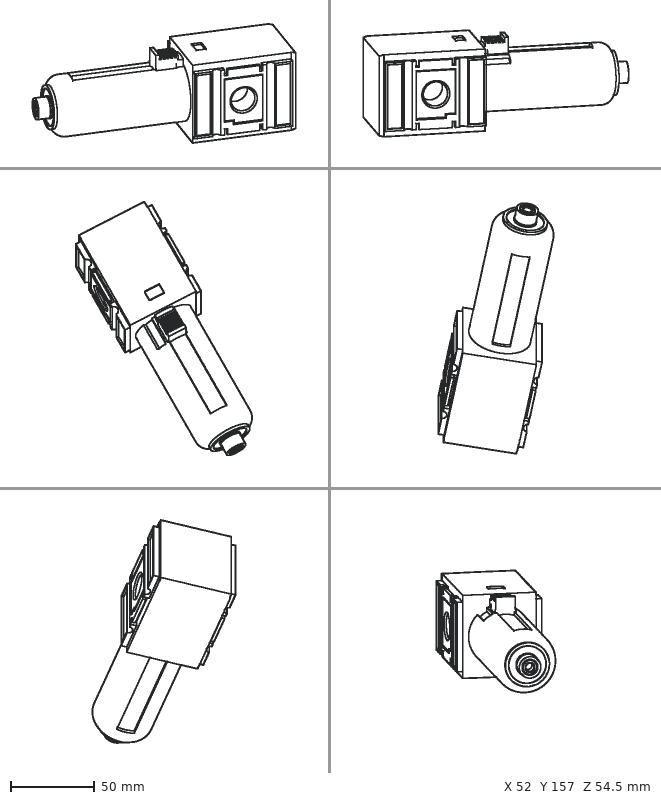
import cadquery as cq
import math


TOTAL_LENGTH = 157.0
HOUSING_LENGTH = 65.2
CAP_LENGTH = 3.0
BLOCK_LENGTH = HOUSING_LENGTH - CAP_LENGTH
BLOCK_WIDTH = 44.9
BLOCK_HEIGHT = 51.0
CROWN_RISE = 1.5
CROWN_RAMP = 6.3
CAP_SIDE_STEP = 0.2
CAP_RAMP = 2.5
CAP_DROP = 0.8

LABEL_WIDTH = 10.0
LABEL_LENGTH = 6.3
LABEL_CENTER_Y = 11.1
LABEL_DEPTH = 1.3

OVERALL_WIDTH = 52.0
PLATE_HEIGHT = 42.5
PLATE_THICKNESS = (OVERALL_WIDTH - BLOCK_WIDTH) / 2
PLATE_SETBACK = 0.2
PLATE_CENTER_Y = BLOCK_LENGTH / 2
SCALLOP_DIAMETER = 5.0
SCALLOP_SPACING = 34.0
PANEL_LENGTH = 9.1
PANEL_HEIGHT = 39.9
PANEL_SPACING = 50.2
PANEL_DEPTH = 1.3
RAIL_LENGTH = 20.4
RAIL_THICKNESS = 2.0
NOTCH_LENGTH = 1.9
NOTCH_DEPTH = 3.8

PORT_DIAMETER = 14.9
PORT_MOUTH_DIAMETER = 17.1
PORT_DEPTH = 15.7
PORT_FACE_LENGTH = 24.2
PORT_FACE_HEIGHT = 30.5
PORT_FACE_DEPTH = 0.3
PORT_PAD_THICKNESS = 0.2
PORT_PAD_TOP_GAP = 0.5
PORT_PAD_BOTTOM_GAP = 0.8
PORT_PAD_STEP_GAP = 0.5
PORT_STEP_LENGTH = 5.7
PORT_STEP_HEIGHT = 2.4

BOWL_RADIUS = 37.8 / 2
BOWL_LENGTH = TOTAL_LENGTH - HOUSING_LENGTH
DOME_START = 75.2
DOME_RADIUS = 7.5
FLANGE_RADIUS = 27.0 / 2
FLANGE_END = 84.3
FLANGE_RECESS_RADIUS = 23.0 / 2
FLANGE_RECESS_DEPTH = 0.8
SPOUT_RADIUS = 6.6
COLLAR_RADIUS = 6.9
COLLAR_END = FLANGE_END + 0.3
DRAIN_DIAMETER = 5.0
DRAIN_MOUTH_DIAMETER = 6.0
DRAIN_DEPTH = 6.3
RING_OUTER_DIAMETER = 9.5
RING_INNER_DIAMETER = 8.6
RING_DEPTH = 0.8
RECESS_FLOOR_RADIUS = 16.8
SIGHT_WIDTH = 11.0
SIGHT_START = 5.0
SIGHT_END = 70.0
POCKET_INNER_X = -7.7
POCKET_OUTER_X = -13.5
POCKET_END = 17.9
POCKET_WALL_ANGLE = 40.0
POCKET_CORNER_RADIUS = 1.0

LATCH_WIDTH = 12.0
LATCH_GAP = 0.5
LATCH_END = 17.9
LATCH_NECK_RADIUS = 23.4
LATCH_GRIP_RADIUS = 26.0
LATCH_GRIP_START = 3.8
LATCH_TAB_TOP = 27.5
LATCH_TAB_LENGTH = 2.4
TOOTH_COUNT = 5
TOOTH_PITCH = (LATCH_END - LATCH_TAB_LENGTH - LATCH_GRIP_START) / TOOTH_COUNT
TOOTH_GAP = 1.1
TOOTH_ROOT_RADIUS = 25.1
SKIRT_WIDTH = 13.2
SKIRT_START = 5.0
SKIRT_TOP = 20.4
SKIRT_BOTTOM = 18.0

FAR = 31.4


def box(x_range, y_range, z_range):
    """Axis-aligned box given by its limits."""
    size = [high - low for low, high in (x_range, y_range, z_range)]
    corner = (x_range[0], y_range[0], z_range[0])
    return cq.Workplane("XY").box(*size, centered=False).translate(corner)


def along_bowl(profile, start, end):
    """Extrude an XZ sketch from Y = -start to Y = -end."""
    return profile.extrude(end - start).translate((0, -start, 0))


def bowl_disc(radius, start, end):
    """Solid cylinder on the bowl axis."""
    return along_bowl(cq.Workplane("XZ").circle(radius), start, end)


def housing_block():
    half_width = BLOCK_WIDTH / 2
    half_height = BLOCK_HEIGHT / 2
    crown_top = half_height + CROWN_RISE
    crowned = (
        cq.Workplane("XZ")
        .moveTo(-half_width, -half_height)
        .lineTo(-half_width, half_height)
        .threePointArc((0, crown_top), (half_width, half_height))
        .lineTo(half_width, -half_height)
        .threePointArc((0, -crown_top), (-half_width, -half_height))
        .close()
        .extrude(-BLOCK_LENGTH)
    )
    ramped = (
        cq.Workplane("YZ")
        .polyline([
            (0, -half_height),
            (CROWN_RAMP, -crown_top),
            (BLOCK_LENGTH - CROWN_RAMP, -crown_top),
            (BLOCK_LENGTH, -half_height),
            (BLOCK_LENGTH, half_height),
            (BLOCK_LENGTH - CROWN_RAMP, crown_top),
            (CROWN_RAMP, crown_top),
            (0, half_height),
        ])
        .close()
        .extrude(half_width, both=True)
    )
    return crowned.intersect(ramped)


def end_cap():
    half_height = BLOCK_HEIGHT / 2
    ramp_start = HOUSING_LENGTH - CAP_RAMP
    return (
        cq.Workplane("YZ")
        .polyline([
            (BLOCK_LENGTH, -half_height),
            (ramp_start, -half_height),
            (HOUSING_LENGTH, -half_height + CAP_DROP),
            (HOUSING_LENGTH, half_height - CAP_DROP),
            (ramp_start, half_height),
            (BLOCK_LENGTH, half_height),
        ])
        .close()
        .extrude(BLOCK_WIDTH / 2 - CAP_SIDE_STEP, both=True)
    )


def label_recess():
    floor = BLOCK_HEIGHT / 2 + CROWN_RISE - LABEL_DEPTH
    half_width = LABEL_WIDTH / 2
    half_length = LABEL_LENGTH / 2
    y_range = (LABEL_CENTER_Y - half_length, LABEL_CENTER_Y + half_length)
    return box((-half_width, half_width), y_range, (floor, FAR))


def clamp_rail_cuts(inner_x, outer_x):
    """Two notches and the groove joining them behind the rail, at the top of the -X plate."""
    z_range = (PLATE_HEIGHT / 2 - NOTCH_DEPTH, PLATE_HEIGHT / 2)
    rail_start = PLATE_CENTER_Y - RAIL_LENGTH / 2
    rail_end = PLATE_CENTER_Y + RAIL_LENGTH / 2
    x_range = (outer_x, inner_x)
    cuts = box((outer_x + RAIL_THICKNESS, inner_x), (rail_start, rail_end), z_range)
    cuts = cuts.union(box(x_range, (rail_start - NOTCH_LENGTH, rail_start), z_range))
    return cuts.union(box(x_range, (rail_end, rail_end + NOTCH_LENGTH), z_range))


def stepped_panel(x_range, bottom, top, step_length, step_height):
    """Port-face panel with one lower corner cut away."""
    start = PLATE_CENTER_Y - PORT_FACE_LENGTH / 2
    panel = box(x_range, (start, start + PORT_FACE_LENGTH), (bottom, top))
    corner = box(x_range, (start, start + step_length), (bottom, bottom + step_height))
    return panel.cut(corner)


def port_face_recess(outer_x):
    """Shallow recess around the port, with a pad set clear of its top, bottom and step."""
    half_height = PORT_FACE_HEIGHT / 2
    floor_x = outer_x + PORT_FACE_DEPTH
    recess = stepped_panel(
        (outer_x, floor_x),
        -half_height,
        half_height,
        PORT_STEP_LENGTH,
        PORT_STEP_HEIGHT,
    )
    pad = stepped_panel(
        (floor_x - PORT_PAD_THICKNESS, floor_x),
        -half_height + PORT_PAD_BOTTOM_GAP,
        half_height - PORT_PAD_TOP_GAP,
        PORT_STEP_LENGTH + PORT_PAD_STEP_GAP,
        PORT_STEP_HEIGHT + PORT_PAD_STEP_GAP - PORT_PAD_BOTTOM_GAP,
    )
    return recess.cut(pad)


def side_plate():
    """Mounting plate on the -X side."""
    inner_x = -BLOCK_WIDTH / 2
    outer_x = inner_x - PLATE_THICKNESS
    half_height = PLATE_HEIGHT / 2
    plate = box((outer_x, inner_x), (PLATE_SETBACK, BLOCK_LENGTH), (-half_height, half_height))

    for side in (-1, 1):
        scallop_y = PLATE_CENTER_Y + side * SCALLOP_SPACING / 2
        scallop = (
            cq.Workplane("XY")
            .center(outer_x, scallop_y)
            .circle(SCALLOP_DIAMETER / 2)
            .extrude(half_height, both=True)
        )
        panel_y = PLATE_CENTER_Y + side * PANEL_SPACING / 2
        panel = box(
            (outer_x, outer_x + PANEL_DEPTH),
            (panel_y - PANEL_LENGTH / 2, panel_y + PANEL_LENGTH / 2),
            (-PANEL_HEIGHT / 2, PANEL_HEIGHT / 2),
        )
        plate = plate.cut(scallop).cut(panel)

    rail_cuts = clamp_rail_cuts(inner_x, outer_x)
    plate = plate.cut(rail_cuts).cut(rail_cuts.mirror("XY"))
    return plate.cut(port_face_recess(outer_x))


def port():
    """Blind port bore with a countersunk mouth, on the -X side."""
    face_x = -OVERALL_WIDTH / 2 + PORT_FACE_DEPTH - PORT_PAD_THICKNESS
    bore_radius = PORT_DIAMETER / 2
    mouth_radius = PORT_MOUTH_DIAMETER / 2
    countersink = mouth_radius - bore_radius
    return (
        cq.Workplane("XY")
        .polyline([
            (face_x, 0),
            (face_x, mouth_radius),
            (face_x + countersink, bore_radius),
            (face_x + PORT_DEPTH, bore_radius),
            (face_x + PORT_DEPTH, 0),
        ])
        .close()
        .revolve(360, (0, 0, 0), (1, 0, 0))
        .translate((0, PLATE_CENTER_Y, 0))
    )


def make_housing():
    plate = side_plate()
    bore = port()
    housing = housing_block().union(end_cap()).cut(label_recess())
    housing = housing.union(plate).union(plate.mirror("YZ"))
    return housing.cut(bore).cut(bore.mirror("YZ"))


def bowl_shell():
    """Turned shape of the bowl: barrel, dome, recessed flange and drain spout."""
    arc_center_radius = BOWL_RADIUS - DOME_RADIUS
    dome_angle = math.acos((FLANGE_RADIUS - arc_center_radius) / DOME_RADIUS)

    def dome_point(angle):
        radius = arc_center_radius + DOME_RADIUS * math.cos(angle)
        return (radius, -DOME_START - DOME_RADIUS * math.sin(angle))

    recess_y = -FLANGE_END + FLANGE_RECESS_DEPTH
    return (
        cq.Workplane("XY")
        .moveTo(0, 0)
        .lineTo(BOWL_RADIUS, 0)
        .lineTo(BOWL_RADIUS, -DOME_START)
        .threePointArc(dome_point(dome_angle / 2), dome_point(dome_angle))
        .lineTo(FLANGE_RADIUS, -FLANGE_END)
        .lineTo(FLANGE_RECESS_RADIUS, -FLANGE_END)
        .lineTo(FLANGE_RECESS_RADIUS, recess_y)
        .lineTo(COLLAR_RADIUS, recess_y)
        .lineTo(COLLAR_RADIUS, -COLLAR_END)
        .lineTo(SPOUT_RADIUS, -COLLAR_END)
        .lineTo(SPOUT_RADIUS, -BOWL_LENGTH)
        .lineTo(0, -BOWL_LENGTH)
        .close()
        .revolve(360, (0, 0, 0), (0, 1, 0))
    )


def drain_cuts():
    """Chamfered blind drain hole and the ring groove around it."""
    hole_radius = DRAIN_DIAMETER / 2
    mouth_radius = DRAIN_MOUTH_DIAMETER / 2
    hole = (
        cq.Workplane("XY")
        .polyline([
            (0, -BOWL_LENGTH),
            (mouth_radius, -BOWL_LENGTH),
            (hole_radius, -BOWL_LENGTH + mouth_radius - hole_radius),
            (hole_radius, -BOWL_LENGTH + DRAIN_DEPTH),
            (0, -BOWL_LENGTH + DRAIN_DEPTH),
        ])
        .close()
        .revolve(360, (0, 0, 0), (0, 1, 0))
    )
    ring_sketch = cq.Workplane("XZ").circle(RING_OUTER_DIAMETER / 2).circle(RING_INNER_DIAMETER / 2)
    return hole.union(along_bowl(ring_sketch, BOWL_LENGTH - RING_DEPTH, BOWL_LENGTH))


def sight_recess():
    """Long recess along the top of the bowl, with a round floor."""
    half_width = SIGHT_WIDTH / 2
    slot = box((-half_width, half_width), (-SIGHT_END, -SIGHT_START), (0, FAR))
    return slot.cut(bowl_disc(RECESS_FLOOR_RADIUS, SIGHT_START, SIGHT_END))


def bayonet_pocket():
    """Recess beside the latch: one upright wall, one sloped wall and a round floor."""
    slope = math.tan(math.radians(POCKET_WALL_ANGLE))
    rim_z = math.sqrt(BOWL_RADIUS**2 - POCKET_OUTER_X**2)

    def sloped_wall_point(x):
        return (x, rim_z + slope * (POCKET_OUTER_X - x))

    section = (
        cq.Workplane("XZ")
        .polyline([
            (POCKET_INNER_X, FAR),
            sloped_wall_point(POCKET_INNER_X),
            sloped_wall_point(-FAR),
            (-FAR, FAR),
        ])
        .close()
    )
    slot = along_bowl(section, 0, POCKET_END)
    upright_corner = slot.faces(">X").edges("<Y")
    sloped_corner = slot.faces("<Z").edges("<Y")
    slot = slot.newObject(upright_corner.vals() + sloped_corner.vals()).fillet(POCKET_CORNER_RADIUS)
    return slot.cut(bowl_disc(RECESS_FLOOR_RADIUS, 0, POCKET_END))


def latch():
    """Locking latch on top of the bowl, with a toothed thumb grip and an end tab."""
    half_width = LATCH_WIDTH / 2
    tab_start = LATCH_END - LATCH_TAB_LENGTH
    root_z = math.sqrt(RECESS_FLOOR_RADIUS**2 - half_width**2)
    block = box((-half_width, half_width), (-LATCH_END, -LATCH_GAP), (root_z, LATCH_TAB_TOP))

    round_top = bowl_disc(LATCH_NECK_RADIUS, LATCH_GAP, LATCH_GRIP_START)
    round_top = round_top.union(bowl_disc(LATCH_GRIP_RADIUS, LATCH_GRIP_START, tab_start))
    for tooth in range(TOOTH_COUNT):
        gap_end = LATCH_GRIP_START + (tooth + 1) * TOOTH_PITCH
        gap_sketch = cq.Workplane("XZ").circle(FAR).circle(TOOTH_ROOT_RADIUS)
        round_top = round_top.cut(along_bowl(gap_sketch, gap_end - TOOTH_GAP, gap_end))
    tab = box((-FAR, FAR), (-LATCH_END, -tab_start), (0, FAR))
    return block.intersect(round_top.union(tab)).union(latch_skirt())


def latch_skirt():
    half_top = LATCH_WIDTH / 2
    half_bottom = SKIRT_WIDTH / 2
    section = (
        cq.Workplane("XZ")
        .polyline([
            (-half_top, SKIRT_TOP),
            (half_top, SKIRT_TOP),
            (half_bottom, SKIRT_BOTTOM),
            (half_bottom, RECESS_FLOOR_RADIUS),
            (-half_bottom, RECESS_FLOOR_RADIUS),
            (-half_bottom, SKIRT_BOTTOM),
        ])
        .close()
    )
    return along_bowl(section, SKIRT_START, LATCH_END)


def make_bowl():
    recess = sight_recess()
    bowl = bowl_shell().cut(drain_cuts())
    bowl = bowl.cut(recess).cut(recess.mirror("XY")).cut(bayonet_pocket())
    return bowl.union(latch())


housing = make_housing()
bowl = make_bowl()
result = cq.Compound.makeCompound([housing.val(), bowl.val()])